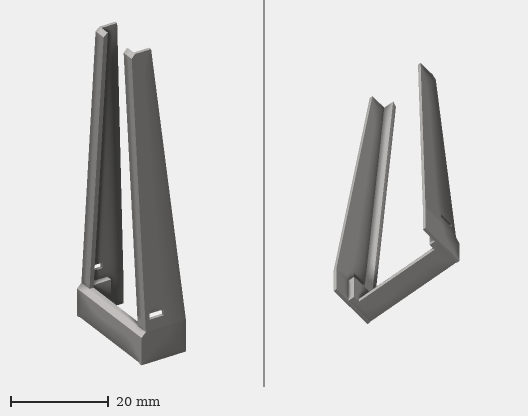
import cadquery as cq

width = 24.5
depth = 10.8
height = 70.0

base_height = 7.5
front_chamfer = 1.05
front_wall = 2.0
side_wall = 0.7
tray_lift = 0.2
cheek_thickness = 1.5
cheek_back = 6.85
floor_back = 5.3
floor_thickness = 1.0

leg_front = front_chamfer
flange_width = 3.1
flange_thickness = front_wall - leg_front
tip_half_width = 6.8
tip_back = 5.8
tip_chamfer = 0.85

slot_front = 2.1
slot_length = 3.4
slot_bottom = 10.0
slot_height = 1.3

half_width = width / 2


def box(x_min, x_max, y_min, y_max, z_min, z_max):
    """Box given by its limits along each axis."""
    return cq.Workplane("XY").box(
        x_max - x_min, y_max - y_min, z_max - z_min, centered=False
    ).translate((x_min, y_min, z_min))


def leaning_strip(strip_width, y_min, y_max):
    """Strip on the -X side that leans inward from the base to the tip."""
    outline = [
        (-half_width, base_height),
        (-half_width + strip_width, base_height),
        (-tip_half_width + strip_width, height),
        (-tip_half_width, height),
    ]
    return (
        cq.Workplane("XZ", origin=(0, y_min, 0))
        .polyline(outline)
        .close()
        .extrude(-(y_max - y_min))
    )


def side_profile(points):
    """Profile in the YZ plane extruded over the full width."""
    return (
        cq.Workplane("YZ", origin=(-half_width, 0, 0))
        .polyline(points)
        .close()
        .extrude(width)
    )


def make_leg():
    """The -X leg, tapered toward the tip and pierced by its slot."""
    side = leaning_strip(side_wall, leg_front, depth)
    flange = leaning_strip(flange_width, leg_front, leg_front + flange_thickness)
    taper = side_profile([
        (leg_front, base_height),
        (depth, base_height),
        (tip_back, height),
        (leg_front + tip_chamfer, height),
        (leg_front, height - tip_chamfer),
    ])
    slot = box(
        -half_width, 0,
        slot_front, slot_front + slot_length,
        slot_bottom, slot_bottom + slot_height,
    )
    return side.union(flange).intersect(taper).cut(slot)


def make_base():
    """Open-backed tray hung slightly above the bottom of its side walls."""
    inner_half = half_width - side_wall
    front = box(-inner_half, inner_half, 0, front_wall, tray_lift, base_height)
    floor = box(-inner_half, inner_half, 0, floor_back, tray_lift, tray_lift + floor_thickness)
    base = front.union(floor)
    for inner_x in (-inner_half, inner_half - cheek_thickness):
        cheek = box(inner_x, inner_x + cheek_thickness, 0, cheek_back, tray_lift, base_height)
        base = base.union(cheek)
    for outer_x in (-half_width, inner_half):
        wall = box(outer_x, outer_x + side_wall, 0, depth, 0, base_height)
        base = base.union(wall)
    chamfered_envelope = side_profile([
        (0, 0),
        (depth, 0),
        (depth, base_height),
        (front_chamfer, base_height),
        (0, base_height - front_chamfer),
    ])
    return base.intersect(chamfered_envelope)


left_leg = make_leg()
right_leg = left_leg.mirror("YZ")
result = make_base().union(left_leg).union(right_leg)